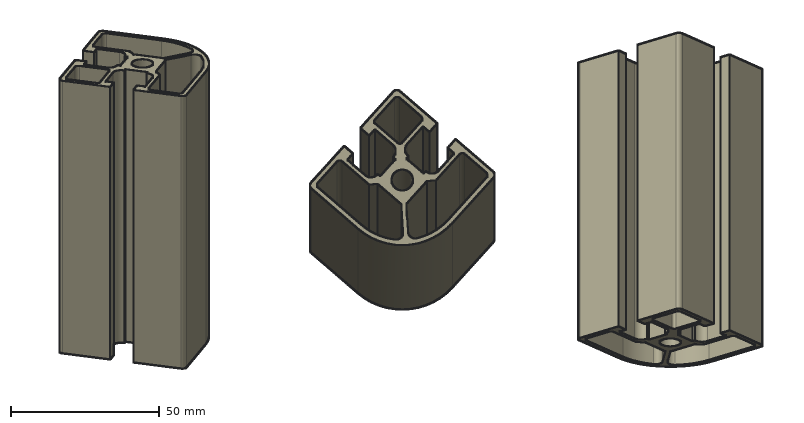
import cadquery as cq
import math

side = 45.0
length = 100.0
wall = 1.8
half = side / 2
inner_half = half - wall
corner_radius = 1.5

core_half = 6.5
bore_diameter = 7.2
core_chamfer_start = 5.3

slot_half_opening = 4.1
lip_depth = 4.0
slot_half_width = 7.0
recess_half_width = 3.9
slot_floor = 7.6
slot_corner_radius = 2.8
slot_wall_outer = 8.6

rib_thickness = 1.7
chamber_radius = 1.2
chamber_inner_radius = 0.9
rib_end_radius = 2.4


def cutter(outline):
    """Extrude a closed outline through the full length."""
    return outline.extrude(length)


def box_cutter(x_min, x_max, y_min, y_max):
    """Full-length rectangular block between the given limits."""
    outline = cq.Workplane("XY").center((x_min + x_max) / 2, (y_min + y_max) / 2)
    return cutter(outline.rect(x_max - x_min, y_max - y_min))


def mirror_diagonal(solid):
    """Swap X and Y by reflecting in the plane x = y."""
    return solid.mirror("YZ").rotate((0, 0, 0), (0, 0, 1), -90)


def make_body():
    """Square bar with one corner rounded to a quarter circle about the axis."""
    body = cq.Workplane("XY").rect(side, side).extrude(length)
    body = body.edges("|Z and >(1, 1, 0)").fillet(half)
    return body.edges("(|Z and <X) or (|Z and <Y)").fillet(corner_radius)


def make_slot():
    """T-slot open to -X, with a shallow recess in its floor."""
    opening = box_cutter(-half, -slot_floor, -slot_half_opening, slot_half_opening)
    recess = box_cutter(-slot_floor, -core_half, -recess_half_width, recess_half_width)
    channel = box_cutter(lip_depth - half, -slot_floor, -slot_half_width, slot_half_width)
    channel = channel.edges("|Z and >X").fillet(slot_corner_radius)
    return opening.union(channel).union(recess)


def make_square_chamber():
    """Hollow between the two slots."""
    chamber = box_cutter(-inner_half, -slot_wall_outer, -inner_half, -slot_wall_outer)
    chamber = chamber.edges("|Z and <X").fillet(chamber_radius)
    return chamber.edges("|Z and >X").fillet(chamber_inner_radius)


def make_curved_chamber():
    """Hollow above the -X slot, ending at the diagonal rib."""
    rib_offset = rib_thickness / math.sqrt(2)
    rib_end_x = (math.sqrt(2 * inner_half**2 - rib_offset**2) - rib_offset) / 2
    rib_end = (rib_end_x, rib_end_x + rib_offset)
    arc_mid_angle = (math.pi / 2 + math.atan2(rib_end[1], rib_end[0])) / 2
    arc_mid = (inner_half * math.cos(arc_mid_angle), inner_half * math.sin(arc_mid_angle))
    chamfer_end = core_chamfer_start + slot_wall_outer - core_half

    chamber = cutter(
        cq.Workplane("XY")
        .moveTo(-inner_half, slot_wall_outer)
        .lineTo(-chamfer_end, slot_wall_outer)
        .lineTo(-core_chamfer_start, core_half)
        .lineTo(core_half - rib_offset, core_half)
        .lineTo(*rib_end)
        .threePointArc(arc_mid, (0, inner_half))
        .lineTo(-inner_half, inner_half)
        .close()
    )
    chamber = chamber.edges("|Z and <X").fillet(chamber_radius)
    return chamber.edges("|Z and >X").fillet(rib_end_radius)


slot = make_slot()
curved_chamber = make_curved_chamber()
bore = cutter(cq.Workplane("XY").circle(bore_diameter / 2))

result = make_body().cut(bore).cut(make_square_chamber())
for hollow in (slot, curved_chamber):
    result = result.cut(hollow).cut(mirror_diagonal(hollow))